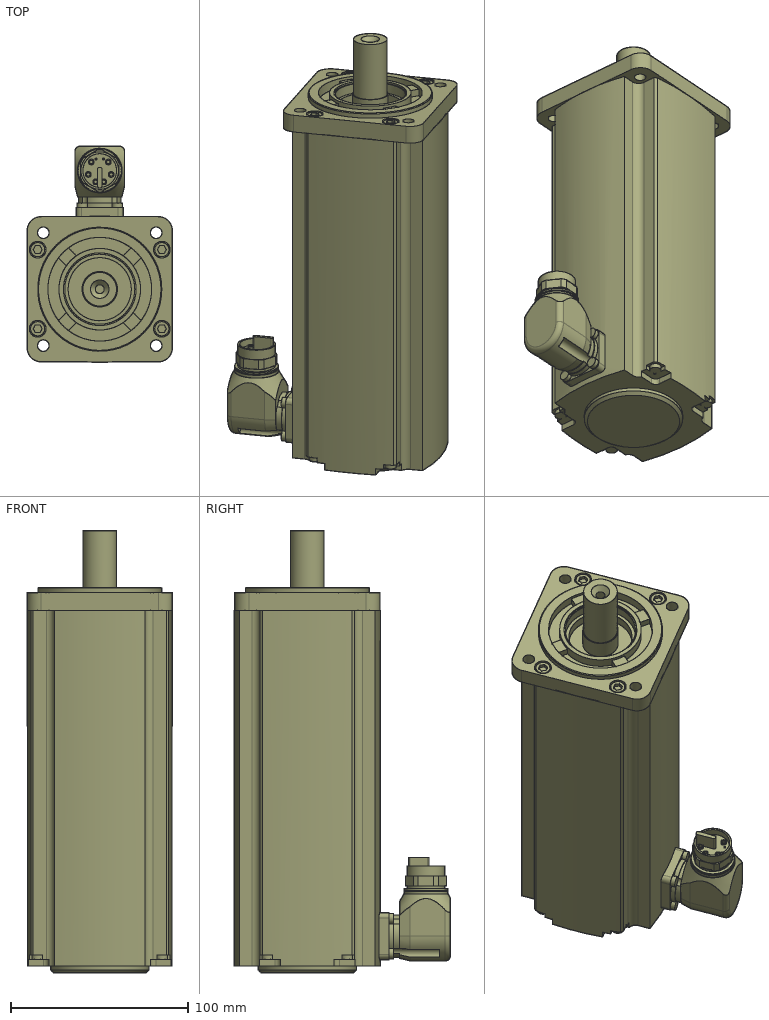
import cadquery as cq
import math


FLANGE_SIZE = 82.0
FLANGE_THICKNESS = 10.0
FLANGE_CORNER_RADIUS = 8.0
BOLT_PITCH = 63.64
BOLT_HOLE_DIAMETER = 6.4
PILOT_DIAMETER = 70.0
PILOT_HEIGHT = 3.0
PILOT_CHAMFER = 0.5

GROOVE_OUTER_DIAMETER = 58.5
GROOVE_INNER_DIAMETER = 46.0
GROOVE_DEPTH = 5.5
BRIDGE_RECESS = 1.6
BRIDGE_WIDTH = 8.0
SEAL_BORE_DIAMETER = 39.5
SEAL_MOUTH_DIAMETER = 41.0
SEAL_MOUTH_DEPTH = 1.0
SEAL_SEAT_DIAMETER = 35.6
SEAL_SEAT_Z = -3.5
SEAL_FLOOR_Z = -9.0

SHAFT_DIAMETER = 19.0
SHAFT_LENGTH = 35.0
SHAFT_COLLAR_DIAMETER = 20.0
SHAFT_COLLAR_Z = 2.2
CENTRE_HOLE_DIAMETER = 5.0
CENTRE_HOLE_DEPTH = 16.0
CENTRE_CONE_DIAMETER = 10.4
CENTRE_CONE_DEPTH = 3.0

SCREW_X = 35.0
SCREW_Y = 22.3
SCREW_SEAT_DIAMETER = 9.4
SCREW_SEAT_DEPTH = 3.0
SCREW_HEAD_DIAMETER = 8.0
SCREW_HEAD_RECESS = 0.4
SCREW_SOCKET_DIAMETER = 5.1
SCREW_SOCKET_DEPTH = 2.0

HOUSING_BOTTOM_Z = -210.6
X_BULGE_APEX = 40.9
Y_BULGE_APEX = 41.3
X_ARM_HALF_WIDTH = 26.6
X_ARM_WALL_END = 37.5
X_ARM_CHAMFER = 1.4
Y_ARM_HALF_WIDTH = 25.6
Y_ARM_WALL_END = 38.2
NOTCH_FILLET = 4.5

OVERALL_HEIGHT = 249.4
CAP_DIAMETER = 55.6
CAP_CHAMFER = 1.8
CAP_POCKET_X = 28.6
CAP_POCKET_Y = 15.0
CAP_POCKET_TOP_Z = -206.8
CAP_POCKET_FILLET = 3.2
CAP_SCREW_DIAMETER = 6.4
CAP_SCREW_SEAT_X = 32.2
CAP_SCREW_SEAT_Y = 19.6
CAP_SCREW_SEAT_TOP_Z = -204.2

FOOT_SIZE = 26.6
FOOT_CORNER_RADIUS = 3.0
FOOT_END_Y = 46.0
STEM_Z = -193.7
STEM_DIAMETER = 24.0
STEM_COLLAR_DIAMETER = 25.0
FOOT_SCREW_OFFSET = 9.9
FOOT_SCREW_DIAMETER = 6.0
FOOT_SCREW_END_Y = 48.6

PLUG_Y = 66.9
ELBOW_WIDTH = 28.0
ELBOW_START_Y = 52.0
ELBOW_END_Y = 80.7
ELBOW_EDGE_RADIUS = 3.0
ELBOW_TAPER_LENGTH = 6.0
ELBOW_TAPER_DEPTH = 1.5
ELBOW_TOP_Z = -170.0
ELBOW_CONE_RADIUS = 12.6
ELBOW_CONE_SLOPE = 1.75
SCALLOP_END_Y = 74.4

PLUG_TOP_Z = -154.0
PLUG_DIAMETER = 21.2
PLUG_BORE_DIAMETER = 19.0
PLUG_BORE_DEPTH = 4.0
PLUG_RING_DIAMETER = 24.6
PLUG_RING_TOP_Z = -166.9
PLUG_RING_GROOVE_Z = -168.4
PLUG_RING_GROOVE_WIDTH = 0.5
PLUG_RING_GROOVE_DEPTH = 0.4
NUT_TOP_Z = -159.6
NUT_BOTTOM_Z = -165.3
NUT_DIAMETER = 23.2
NUT_ACROSS_FLATS = 21.5
KEY_TOP_Z = -149.3
KEY_WIDTH = 2.4
KEY_START_OFFSET = -9.8
KEY_END_OFFSET = 1.8
KEY_EDGE_RADIUS = 0.9
CONTACT_CIRCLE_RADIUS = 6.8
CONTACT_ANGLES = (-161.0, -110.0, -70.0, -19.0, 45.0, 135.0)
CONTACT_SLEEVE_DIAMETER = 3.2
CONTACT_SLEEVE_HEIGHT = 1.0
CONTACT_HOLE_DIAMETER = 1.99
CONTACT_HOLE_DEPTH = 3.0
SIGNAL_ANGLES = (72.0, 108.0)
SIGNAL_HOLE_DIAMETER = 0.99

SIGNS = ((1, 1), (-1, 1), (-1, -1), (1, -1))


def cylinder(diameter, z_bottom, z_top, x=0.0, y=0.0):
    """Upright cylinder between two heights."""
    circle = cq.Workplane("XY").workplane(offset=z_bottom).center(x, y).circle(diameter / 2)
    return circle.extrude(z_top - z_bottom)


def cylinder_along_y(diameter, y_start, y_end, x, z):
    """Lying cylinder that runs along +Y."""
    circle = cq.Workplane("XZ", origin=(x, y_start, z)).circle(diameter / 2)
    return circle.extrude(y_start - y_end)


def box(x_range, y_range, z_range):
    """Box given by its limits on each axis."""
    sizes = [high - low for low, high in (x_range, y_range, z_range)]
    corner = (x_range[0], y_range[0], z_range[0])
    return cq.Workplane("XY").box(*sizes, centered=False).translate(corner)


def polar(radius, angle):
    """Point at a radius and an angle in degrees."""
    return (radius * math.cos(math.radians(angle)), radius * math.sin(math.radians(angle)))


def screw_places():
    return [(sx * SCREW_X, sy * SCREW_Y) for sx, sy in SIGNS]


def make_flange():
    plate = cq.Workplane("XY").rect(FLANGE_SIZE, FLANGE_SIZE).extrude(-FLANGE_THICKNESS)
    plate = plate.edges("|Z").fillet(FLANGE_CORNER_RADIUS)
    pilot = cylinder(PILOT_DIAMETER, 0, PILOT_HEIGHT).faces(">Z").chamfer(PILOT_CHAMFER)
    holes = (
        cq.Workplane("XY")
        .rect(BOLT_PITCH, BOLT_PITCH, forConstruction=True)
        .vertices()
        .circle(BOLT_HOLE_DIAMETER / 2)
        .extrude(-FLANGE_THICKNESS)
    )
    return plate.cut(holes).union(pilot)


def make_housing():
    """Extruded cross of four bulged arms with a filleted notch at each corner."""
    x_face = X_ARM_WALL_END + X_ARM_CHAMFER
    x_edge = X_ARM_HALF_WIDTH - X_ARM_CHAMFER
    profile = (
        cq.Workplane("XY")
        .workplane(offset=-FLANGE_THICKNESS)
        .moveTo(x_face, -x_edge)
        .threePointArc((X_BULGE_APEX, 0), (x_face, x_edge))
        .lineTo(X_ARM_WALL_END, X_ARM_HALF_WIDTH)
        .lineTo(Y_ARM_HALF_WIDTH, X_ARM_HALF_WIDTH)
        .lineTo(Y_ARM_HALF_WIDTH, Y_ARM_WALL_END)
        .threePointArc((0, Y_BULGE_APEX), (-Y_ARM_HALF_WIDTH, Y_ARM_WALL_END))
        .lineTo(-Y_ARM_HALF_WIDTH, X_ARM_HALF_WIDTH)
        .lineTo(-X_ARM_WALL_END, X_ARM_HALF_WIDTH)
        .lineTo(-x_face, x_edge)
        .threePointArc((-X_BULGE_APEX, 0), (-x_face, -x_edge))
        .lineTo(-X_ARM_WALL_END, -X_ARM_HALF_WIDTH)
        .lineTo(-Y_ARM_HALF_WIDTH, -X_ARM_HALF_WIDTH)
        .lineTo(-Y_ARM_HALF_WIDTH, -Y_ARM_WALL_END)
        .threePointArc((0, -Y_BULGE_APEX), (Y_ARM_HALF_WIDTH, -Y_ARM_WALL_END))
        .lineTo(Y_ARM_HALF_WIDTH, -X_ARM_HALF_WIDTH)
        .lineTo(X_ARM_WALL_END, -X_ARM_HALF_WIDTH)
        .close()
    )
    housing = profile.extrude(HOUSING_BOTTOM_Z + FLANGE_THICKNESS)
    for sx, sy in SIGNS:
        corner = (sx * Y_ARM_HALF_WIDTH, sy * X_ARM_HALF_WIDTH, HOUSING_BOTTOM_Z / 2)
        housing = housing.edges(cq.selectors.NearestToPointSelector(corner)).fillet(NOTCH_FILLET)
    return housing


def make_cap():
    """Round end cap with a chamfered rim below the housing."""
    bottom_z = SHAFT_LENGTH - OVERALL_HEIGHT
    cap = cylinder(CAP_DIAMETER, bottom_z, HOUSING_BOTTOM_Z)
    return cap.faces("<Z").chamfer(CAP_CHAMFER)


def make_cap_pockets():
    """Open stepped pockets at the lower corners of the two X arms."""
    pockets = cq.Workplane("XY")
    reach = FLANGE_SIZE / 2
    for sx, sy in SIGNS:
        pocket = box((CAP_POCKET_X, reach), (CAP_POCKET_Y, reach), (HOUSING_BOTTOM_Z, CAP_POCKET_TOP_Z))
        pocket = pocket.edges("|Z and <X and <Y").fillet(CAP_POCKET_FILLET)
        seat = box(
            (CAP_SCREW_SEAT_X, reach),
            (CAP_SCREW_SEAT_Y, reach),
            (CAP_POCKET_TOP_Z, CAP_SCREW_SEAT_TOP_Z),
        )
        pocket = pocket.union(seat)
        if sx < 0:
            pocket = pocket.mirror("YZ")
        if sy < 0:
            pocket = pocket.mirror("XZ")
        pockets = pockets.add(pocket)
    return pockets.combine()


def make_ring_groove():
    """Ring groove in the pilot, with a recessed bridge left across it on each diagonal."""
    bottom_z = PILOT_HEIGHT - GROOVE_DEPTH
    bridge_top_z = PILOT_HEIGHT - BRIDGE_RECESS
    groove = cylinder(GROOVE_OUTER_DIAMETER, bottom_z, PILOT_HEIGHT)
    groove = groove.cut(cylinder(GROOVE_INNER_DIAMETER, bottom_z, PILOT_HEIGHT))
    half_length = PILOT_DIAMETER / 2
    half_width = BRIDGE_WIDTH / 2
    for angle in (45, 135):
        bridges = box((-half_length, half_length), (-half_width, half_width), (bottom_z, bridge_top_z))
        groove = groove.cut(bridges.rotate((0, 0, 0), (0, 0, 1), angle))
    return groove


def make_seal_bore():
    """Stepped bore around the shaft."""
    mouth = cylinder(SEAL_MOUTH_DIAMETER, PILOT_HEIGHT - SEAL_MOUTH_DEPTH, PILOT_HEIGHT)
    bore = cylinder(SEAL_BORE_DIAMETER, SEAL_SEAT_Z, PILOT_HEIGHT)
    seat = cylinder(SEAL_SEAT_DIAMETER, SEAL_FLOOR_Z, SEAL_SEAT_Z)
    return mouth.union(bore).union(seat)


def make_shaft():
    collar = cylinder(SHAFT_COLLAR_DIAMETER, SEAL_FLOOR_Z, SHAFT_COLLAR_Z)
    shaft = collar.union(cylinder(SHAFT_DIAMETER, SHAFT_COLLAR_Z, SHAFT_LENGTH))
    hole_bottom_z = SHAFT_LENGTH - CENTRE_HOLE_DEPTH
    hole = cylinder(CENTRE_HOLE_DIAMETER, hole_bottom_z, SHAFT_LENGTH)
    cone = cq.Workplane(
        cq.Solid.makeCone(
            CENTRE_CONE_DIAMETER / 2,
            CENTRE_HOLE_DIAMETER / 2,
            CENTRE_CONE_DEPTH,
            pnt=cq.Vector(0, 0, SHAFT_LENGTH),
            dir=cq.Vector(0, 0, -1),
        )
    )
    return shaft.cut(hole).cut(cone)


def add_assembly_screws(body):
    """Socket screw heads sunk in the flange and screw ends in the cap pockets."""
    for x, y in screw_places():
        body = body.cut(cylinder(SCREW_SEAT_DIAMETER, -SCREW_SEAT_DEPTH, 0, x, y))
        head = cylinder(SCREW_HEAD_DIAMETER, -SCREW_SEAT_DEPTH, -SCREW_HEAD_RECESS, x, y)
        socket_bottom_z = -SCREW_HEAD_RECESS - SCREW_SOCKET_DEPTH
        socket = (
            cq.Workplane("XY")
            .workplane(offset=socket_bottom_z)
            .center(x, y)
            .polygon(6, SCREW_SOCKET_DIAMETER)
            .extrude(SCREW_SOCKET_DEPTH)
        )
        body = body.union(head.cut(socket))
        body = body.union(cylinder(CAP_SCREW_DIAMETER, CAP_POCKET_TOP_Z, CAP_SCREW_SEAT_TOP_Z, x, y))
    return body


def make_socket_foot():
    """Square foot on the housing with four screws and the round stem of the elbow."""
    root_y = Y_ARM_WALL_END
    foot = box(
        (-FOOT_SIZE / 2, FOOT_SIZE / 2),
        (root_y, FOOT_END_Y),
        (STEM_Z - FOOT_SIZE / 2, STEM_Z + FOOT_SIZE / 2),
    )
    foot = foot.edges("|Y").fillet(FOOT_CORNER_RADIUS)
    foot = foot.union(cylinder_along_y(STEM_COLLAR_DIAMETER, FOOT_END_Y, FOOT_SCREW_END_Y, 0, STEM_Z))
    foot = foot.union(cylinder_along_y(STEM_DIAMETER, FOOT_END_Y, ELBOW_START_Y, 0, STEM_Z))
    for sx, sz in SIGNS:
        x = sx * FOOT_SCREW_OFFSET
        z = STEM_Z + sz * FOOT_SCREW_OFFSET
        foot = foot.cut(cylinder_along_y(FOOT_SCREW_DIAMETER, FOOT_END_Y, ELBOW_START_Y, x, z))
        foot = foot.union(cylinder_along_y(FOOT_SCREW_DIAMETER, FOOT_END_Y, FOOT_SCREW_END_Y, x, z))
    return foot


def make_elbow():
    """Elbow block: half round below, coned off towards the plug."""
    half = ELBOW_WIDTH / 2
    block = (
        cq.Workplane("XZ", origin=(0, ELBOW_START_Y, 0))
        .moveTo(-half, ELBOW_TOP_Z)
        .lineTo(-half, STEM_Z)
        .threePointArc((0, STEM_Z - half), (half, STEM_Z))
        .lineTo(half, ELBOW_TOP_Z)
        .close()
        .extrude(ELBOW_START_Y - ELBOW_END_Y)
    )
    block = block.faces("<Y").edges("not >Z").chamfer(ELBOW_TAPER_LENGTH, ELBOW_TAPER_DEPTH)
    block = block.faces(">Y").edges("not >Z").fillet(ELBOW_EDGE_RADIUS)

    base_z = STEM_Z - half
    base_radius = ELBOW_CONE_RADIUS + (ELBOW_TOP_Z - base_z) / ELBOW_CONE_SLOPE
    cone = cq.Workplane(
        cq.Solid.makeCone(
            base_radius, ELBOW_CONE_RADIUS, ELBOW_TOP_Z - base_z, pnt=cq.Vector(0, PLUG_Y, base_z)
        )
    )
    elbow = block.intersect(cone)
    for side in (-1, 1):
        x = side * FOOT_SCREW_OFFSET
        z = STEM_Z - FOOT_SCREW_OFFSET
        elbow = elbow.cut(cylinder_along_y(FOOT_SCREW_DIAMETER, ELBOW_START_Y, SCALLOP_END_Y, x, z))
    return elbow


def plug_cylinder(diameter, z_bottom, z_top):
    return cylinder(diameter, z_bottom, z_top, 0, PLUG_Y)


def make_plug():
    """Round plug on top of the elbow with its lock ring, nut, key and contacts."""
    plug = plug_cylinder(PLUG_DIAMETER, ELBOW_TOP_Z, PLUG_TOP_Z)
    plug = plug.union(plug_cylinder(PLUG_RING_DIAMETER, ELBOW_TOP_Z, PLUG_RING_TOP_Z))
    groove_top_z = PLUG_RING_GROOVE_Z + PLUG_RING_GROOVE_WIDTH
    groove = plug_cylinder(PLUG_RING_DIAMETER, PLUG_RING_GROOVE_Z, groove_top_z)
    groove_core_diameter = PLUG_RING_DIAMETER - 2 * PLUG_RING_GROOVE_DEPTH
    plug = plug.cut(groove.cut(plug_cylinder(groove_core_diameter, PLUG_RING_GROOVE_Z, groove_top_z)))

    nut = (
        cq.Workplane("XY")
        .workplane(offset=NUT_BOTTOM_Z)
        .center(0, PLUG_Y)
        .polygon(6, NUT_ACROSS_FLATS, circumscribed=True)
        .extrude(NUT_TOP_Z - NUT_BOTTOM_Z)
    )
    plug = plug.union(nut.intersect(plug_cylinder(NUT_DIAMETER, NUT_BOTTOM_Z, NUT_TOP_Z)))

    floor_z = PLUG_TOP_Z - PLUG_BORE_DEPTH
    plug = plug.cut(plug_cylinder(PLUG_BORE_DIAMETER, floor_z, PLUG_TOP_Z))
    key = box(
        (-KEY_WIDTH / 2, KEY_WIDTH / 2),
        (PLUG_Y + KEY_START_OFFSET, PLUG_Y + KEY_END_OFFSET),
        (floor_z, KEY_TOP_Z),
    )
    key = key.edges("|Z").fillet(KEY_EDGE_RADIUS)
    plug = plug.union(key)

    sleeve_top_z = floor_z + CONTACT_SLEEVE_HEIGHT
    hole_bottom_z = floor_z - CONTACT_HOLE_DEPTH
    for angle in CONTACT_ANGLES:
        x, y = polar(CONTACT_CIRCLE_RADIUS, angle)
        plug = plug.union(cylinder(CONTACT_SLEEVE_DIAMETER, floor_z, sleeve_top_z, x, PLUG_Y + y))
        plug = plug.cut(cylinder(CONTACT_HOLE_DIAMETER, hole_bottom_z, sleeve_top_z, x, PLUG_Y + y))
    for angle in SIGNAL_ANGLES:
        x, y = polar(CONTACT_CIRCLE_RADIUS, angle)
        plug = plug.cut(cylinder(SIGNAL_HOLE_DIAMETER, hole_bottom_z, floor_z, x, PLUG_Y + y))
    return plug


motor = make_flange().union(make_housing()).union(make_cap())
motor = motor.cut(make_cap_pockets()).cut(make_ring_groove()).cut(make_seal_bore())
motor = add_assembly_screws(motor.union(make_shaft()))
connector = make_socket_foot().union(make_elbow()).union(make_plug())
result = motor.union(connector)